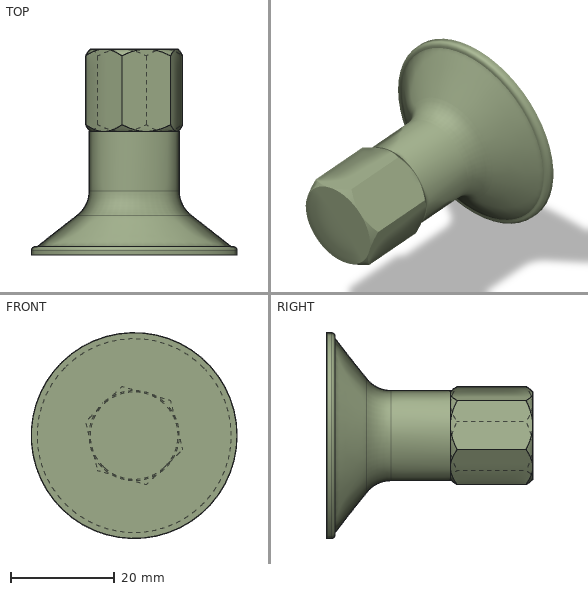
import cadquery as cq
import math

total_length = 40.0
disc_radius = 20.0
front_y = -total_length / 2
back_y = total_length / 2

rim_thickness = 1.65
rim_rounding = 0.75

skirt_base_radius = 18.85
skirt_angle = math.radians(52.6)
neck_radius = 17.5 / 2
flare_radius = 5.95
flare_end = 12.45

hex_length = 16.0
hex_flats = 17.0
hex_turn = 43.9
hex_corner_radius = hex_flats / 2 / math.cos(math.radians(30))
hex_front_y = back_y - hex_length
chamfer_end_radius = hex_flats / 2
chamfer = hex_corner_radius - chamfer_end_radius


def flare_point(angle):
    """Point on the concave flare where its slope from the axis is angle."""
    radius = neck_radius + flare_radius * (1 - math.cos(angle))
    return (radius, front_y + flare_end - flare_radius * math.sin(angle))


def revolve_about_y(profile):
    return profile.close().revolve(360, (0, 0, 0), (0, 1, 0))


def make_body():
    """Rim, skirt, concave flare and neck as one turned body."""
    rim_top_y = front_y + rim_thickness
    bend = rim_rounding * (1 - math.sqrt(0.5))
    profile = (
        cq.Workplane("XY")
        .moveTo(0, front_y)
        .lineTo(disc_radius, front_y)
        .lineTo(disc_radius, rim_top_y - rim_rounding)
        .threePointArc(
            (disc_radius - bend, rim_top_y - bend),
            (disc_radius - rim_rounding, rim_top_y),
        )
        .lineTo(skirt_base_radius, rim_top_y)
        .lineTo(*flare_point(skirt_angle))
        .threePointArc(flare_point(skirt_angle / 2), flare_point(0))
        .lineTo(neck_radius, hex_front_y)
        .lineTo(0, hex_front_y)
    )
    return revolve_about_y(profile)


def make_hex():
    """Hexagonal prism with its corners chamfered at both ends."""
    corners = []
    for i in range(6):
        angle = math.radians(hex_turn + 60 * i)
        corners.append((hex_corner_radius * math.cos(angle), hex_corner_radius * math.sin(angle)))
    prism = (
        cq.Workplane("XZ", origin=(0, back_y, 0))
        .polyline(corners)
        .close()
        .extrude(hex_length)
    )
    envelope = revolve_about_y(
        cq.Workplane("XY")
        .moveTo(0, hex_front_y)
        .lineTo(chamfer_end_radius, hex_front_y)
        .lineTo(hex_corner_radius, hex_front_y + chamfer)
        .lineTo(hex_corner_radius, back_y - chamfer)
        .lineTo(chamfer_end_radius, back_y)
        .lineTo(0, back_y)
    )
    return prism.intersect(envelope)


result = make_body().union(make_hex())